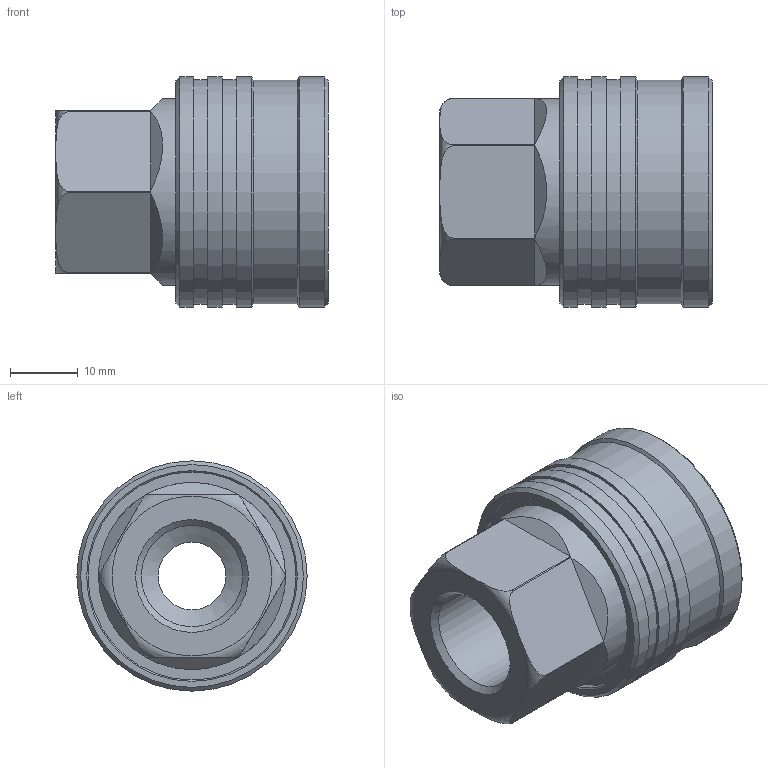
import cadquery as cq
import math

overall_length = 40.25

body_radius = 13.8
hex_across_flats = 24.0
flat_count = 6
flat_length = 14.0
front_round = 2.0

sleeve_start = 17.75
sleeve_radius = 17.0
rim_chamfer = 0.55
groove_starts = (20.35, 24.6)
groove_width = 2.05
groove_depth = 0.4
waist_start = 28.9
waist_end = 35.95
waist_depth = 0.5
waist_wall_angle = 60.0

recess_radius = 15.35
recess_depth = 1.2
recess_chamfer = 0.2

port_radius = 7.475
port_mouth_radius = 8.33
port_depth = 12.0
port_cone_half_angle = 60.0
passage_radius = 5.0


def revolve_profile(outline):
    """Turn a closed outline of (x, radius) points around the X axis."""
    return cq.Workplane("XY").polyline(outline).close().revolve(360, (0, 0, 0), (1, 0, 0))


def groove_cutter(start):
    """Square ring that cuts one grip groove into the sleeve."""
    return (
        cq.Workplane("YZ", origin=(start, 0, 0))
        .circle(sleeve_radius + groove_depth)
        .circle(sleeve_radius - groove_depth)
        .extrude(groove_width)
    )


def make_body():
    """Round bar with a rounded front rim and six milled flats."""
    body = (
        cq.Workplane("YZ")
        .circle(body_radius)
        .extrude(sleeve_start + recess_depth)
        .faces("<X")
        .edges()
        .fillet(front_round)
    )
    flat_distance = hex_across_flats / 2
    cut_height = 2 * (body_radius - flat_distance)
    flat_cutter = (
        cq.Workplane("XZ")
        .moveTo(0, flat_distance)
        .lineTo(flat_length, flat_distance)
        .lineTo(flat_length + cut_height, flat_distance + cut_height)
        .lineTo(0, flat_distance + cut_height)
        .close()
        .extrude(body_radius, both=True)
    )
    for side in range(flat_count):
        body = body.cut(flat_cutter.rotate((0, 0, 0), (1, 0, 0), 360 / flat_count * side))
    return body


def make_sleeve():
    """Chamfered cylinder with grip grooves, a sloped-wall waist and a recessed front face."""
    sleeve = (
        cq.Workplane("YZ", origin=(sleeve_start, 0, 0))
        .circle(sleeve_radius)
        .extrude(overall_length - sleeve_start)
        .edges()
        .chamfer(rim_chamfer)
    )
    for start in groove_starts:
        sleeve = sleeve.cut(groove_cutter(start))

    wall_run = waist_depth / math.tan(math.radians(waist_wall_angle))
    waist_radius = sleeve_radius - waist_depth
    waist = revolve_profile([
        (waist_start, sleeve_radius),
        (waist_start + wall_run, waist_radius),
        (waist_end - wall_run, waist_radius),
        (waist_end, sleeve_radius),
    ])
    recess_end = sleeve_start + recess_depth
    recess = revolve_profile([
        (sleeve_start, 0),
        (sleeve_start, recess_radius + recess_chamfer),
        (sleeve_start + recess_chamfer, recess_radius),
        (recess_end, recess_radius),
        (recess_end, 0),
    ])
    return sleeve.cut(waist).cut(recess)


def make_bore():
    """Port with a 45 degree mouth and a conical bottom, leading into the through passage."""
    mouth_depth = port_mouth_radius - port_radius
    cone_depth = (port_radius - passage_radius) / math.tan(math.radians(port_cone_half_angle))
    return revolve_profile([
        (0, 0),
        (0, port_mouth_radius),
        (mouth_depth, port_radius),
        (port_depth, port_radius),
        (port_depth + cone_depth, passage_radius),
        (overall_length, passage_radius),
        (overall_length, 0),
    ])


result = make_body().union(make_sleeve()).cut(make_bore())